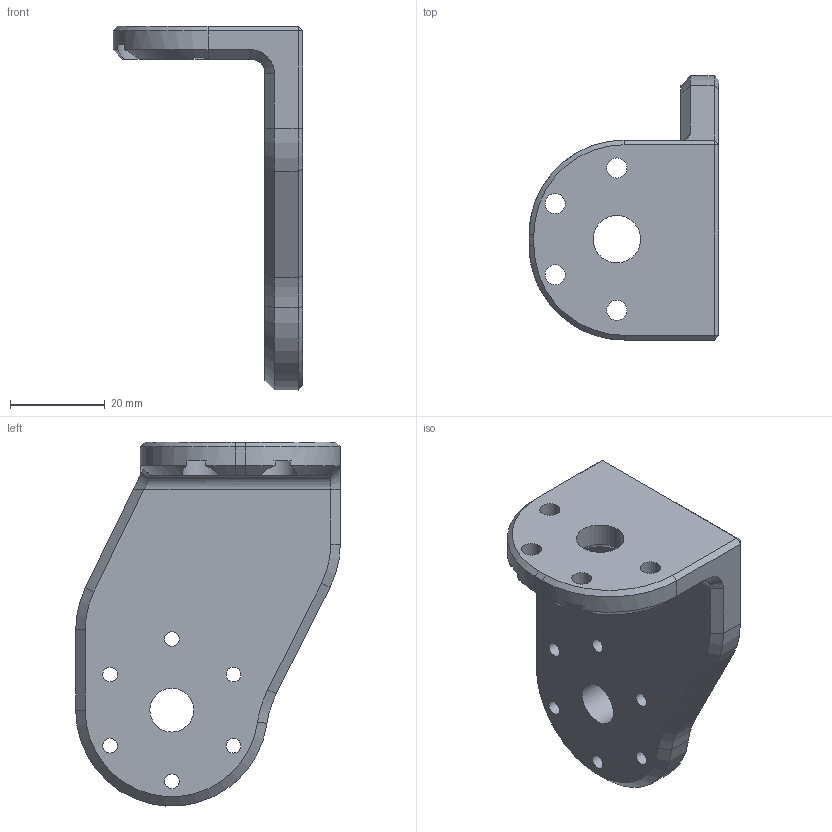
import cadquery as cq
import math


flange_thickness = 7.0
flange_length = 40.0
flange_width = 42.15
flange_left = -18.5
flange_front = -21.25
flange_back = flange_front + flange_width
flange_corner_radius = 20.0

arm_thickness = 8.0
arm_outer = flange_left + flange_length
arm_inner = arm_outer - arm_thickness
arm_end_radius = 20.25
arm_end_y = 14.25
arm_end_z = -56.5
arm_back = arm_end_y + arm_end_radius

front_slant = math.radians(26.8)
back_slant = math.radians(26)
front_bend_z = -26.35
back_bend_z = -flange_thickness - (arm_back - flange_back) / math.tan(back_slant)
bend_radius = 20.0

inside_corner_radius = 3.0
inner_chamfer = 2.0
outer_chamfer = 1.0

corner_axis_x = arm_inner - inside_corner_radius
corner_axis_z = -flange_thickness - inside_corner_radius
flared_radius = inside_corner_radius + inner_chamfer

bolt_circle_radius = 15.0
flange_bore_diameter = 10.0
flange_bore_chamfer = 2.0
bore_chamfer_angle = 45
flange_bolt_diameter = 4.25
flange_bolt_angles = (90, 150, 210, 270)
bolt_head_diameter = 9.0
bolt_head_depth = 3.0
arm_bore_diameter = 9.25
arm_screw_diameter = 3.1
arm_screw_angles = range(30, 390, 60)


def bolt_circle(angles):
    """Points on the bolt circle, at the given angles in degrees."""
    radians = [math.radians(angle) for angle in angles]
    return [(bolt_circle_radius * math.cos(a), bolt_circle_radius * math.sin(a)) for a in radians]


def side_block(left):
    """Block from X = left to the outer face, with the YZ outline of the whole bracket."""
    slant_y = math.sin(front_slant)
    slant_z = -math.cos(front_slant)
    slant_length = (arm_end_y - flange_front) * slant_y + (arm_end_z - front_bend_z) * slant_z
    slant_end = (flange_front + slant_length * slant_y, front_bend_z + slant_length * slant_z)

    length = arm_outer - left
    side_plane = cq.Workplane("YZ", origin=(left, 0, 0))
    sides = (
        side_plane
        .moveTo(flange_front, 0)
        .lineTo(flange_front, front_bend_z)
        .lineTo(*slant_end)
        .lineTo(arm_end_y, arm_end_z)
        .lineTo(arm_back, arm_end_z)
        .lineTo(arm_back, back_bend_z)
        .lineTo(flange_back, -flange_thickness)
        .lineTo(flange_back, 0)
        .close()
        .extrude(length)
    )
    round_end = side_plane.center(arm_end_y, arm_end_z).circle(arm_end_radius).extrude(length)
    block = sides.union(round_end)
    middle_x = left + length / 2
    for bend_y, bend_z in ((flange_front, front_bend_z), (arm_back, back_bend_z), slant_end):
        bend = cq.NearestToPointSelector((middle_x, bend_y, bend_z))
        block = block.edges("|X").edges(bend).fillet(bend_radius)
    return block


def flange():
    """Horizontal plate with two round corners and a chamfered lower rim."""
    plate = (
        cq.Workplane("XY", origin=(flange_left, flange_front, -flange_thickness))
        .box(flange_length, flange_width, flange_thickness, centered=False)
        .edges("|Z and <X")
        .fillet(flange_corner_radius)
    )
    return plate.faces("<Z").edges("not >X").chamfer(inner_chamfer)


def arm():
    """Vertical plate with a chamfered rim on its inner face."""
    return side_block(arm_inner).faces("<X").edges("not >Z").chamfer(inner_chamfer)


def flare(start_y, end_y):
    """Cone about the inside corner axis, widening from the corner radius to the flared one."""
    return (
        cq.Workplane("XY", origin=(corner_axis_x, 0, corner_axis_z))
        .moveTo(0, start_y)
        .lineTo(inside_corner_radius, start_y)
        .lineTo(flared_radius, end_y)
        .lineTo(0, end_y)
        .close()
        .revolve(360, (0, 0, 0), (0, 1, 0))
    )


def slanted_flare():
    """The same widening, leaning with the slanted back side of the arm."""
    lean = math.cos(back_slant)
    side_y = flange_back + inside_corner_radius * math.tan(back_slant)
    side_plane = cq.Plane(
        origin=(corner_axis_x, side_y, corner_axis_z),
        xDir=(1, 0, 0),
        normal=(0, -lean, -math.sin(back_slant)),
    )
    return (
        cq.Workplane(side_plane)
        .ellipse(flared_radius, flared_radius / lean)
        .workplane(offset=inner_chamfer)
        .center(0, inner_chamfer * math.tan(back_slant))
        .ellipse(inside_corner_radius, inside_corner_radius / lean)
        .loft(ruled=True)
    )


def corner_web():
    """Fill of the inside corner, rounded along Y and opening out at both ends."""
    block = (
        cq.Workplane("XY", origin=(corner_axis_x, flange_front, corner_axis_z))
        .box(flared_radius, arm_back - flange_front, flared_radius, centered=False)
        .intersect(side_block(corner_axis_x))
    )
    across = cq.Workplane("XZ", origin=(corner_axis_x, arm_back, corner_axis_z))
    rounding = across.circle(inside_corner_radius).extrude(arm_back - flange_front)
    beyond_flange = across.circle(flared_radius).extrude(arm_back - flange_back)
    front_flare = flare(flange_front + inner_chamfer, flange_front)
    back_flare = flare(flange_back - inner_chamfer, flange_back).union(beyond_flange)
    back_flare = back_flare.intersect(slanted_flare())
    return block.cut(rounding).cut(front_flare).cut(back_flare)


def bracket_body():
    """Bracket without holes, chamfered round the flange top and the outer face of the arm."""
    body = flange().union(arm()).union(corner_web()).clean()
    return body.faces(">Z or >X").edges().chamfer(outer_chamfer)


def flange_holes():
    """Bore with a chamfered lower rim, and bolt holes with head recesses from below."""
    bore = cq.Workplane("XY").circle(flange_bore_diameter / 2).extrude(-flange_thickness)
    bore_flare = (
        cq.Workplane("XY", origin=(0, 0, -flange_thickness))
        .circle(flange_bore_diameter / 2 + flange_bore_chamfer)
        .extrude(flange_bore_chamfer, taper=bore_chamfer_angle)
    )
    bolts = (
        cq.Workplane("XY")
        .pushPoints(bolt_circle(flange_bolt_angles))
        .circle(flange_bolt_diameter / 2)
        .extrude(-flange_thickness)
    )
    heads = (
        cq.Workplane("XY", origin=(0, 0, -flange_thickness))
        .pushPoints(bolt_circle(flange_bolt_angles))
        .circle(bolt_head_diameter / 2)
        .extrude(bolt_head_depth)
    )
    return bore.union(bore_flare).union(bolts).union(heads)


def arm_holes():
    """Bore and ring of screw holes through the arm, centred on its round end."""
    arm_plane = cq.Workplane("YZ", origin=(arm_inner, arm_end_y, arm_end_z))
    bore = arm_plane.circle(arm_bore_diameter / 2).extrude(arm_thickness)
    screws = (
        arm_plane
        .pushPoints(bolt_circle(arm_screw_angles))
        .circle(arm_screw_diameter / 2)
        .extrude(arm_thickness)
    )
    return bore.union(screws)


result = bracket_body().cut(flange_holes()).cut(arm_holes())